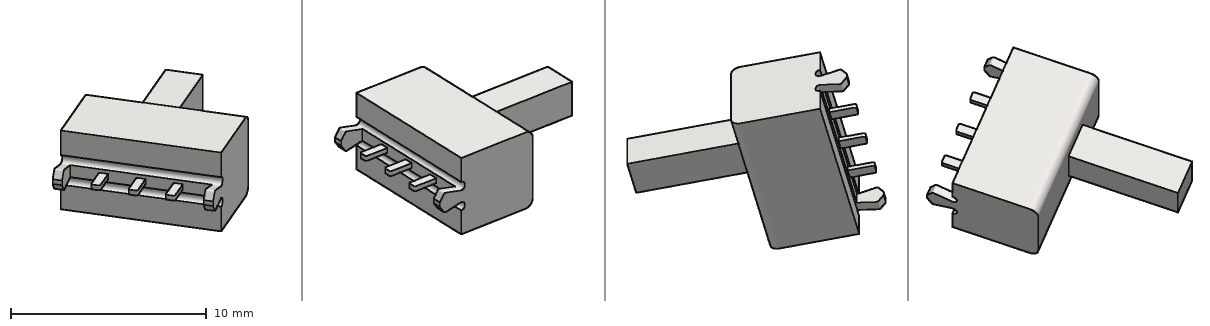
import cadquery as cq
import math

width = 8.6
height = 4.5
depth = 4.7
rear_edge_radius = 0.5

groove_radius = 0.24
groove_offset = 0.59

reach = 1.4
hook_thickness = 0.51
barb_distance = 1.09
barb_half_height = 0.59
barb_edge_radius = 0.12
tip_half_height = 0.13

terminal_width = 0.5
terminal_height = 0.29
terminal_pitch = 2.0
terminal_edge_radius = 0.1
terminal_count = 3

lever_size = 2.0
lever_length = 12.11 - depth - reach
lever_center_x = -lever_size / 2


def make_block():
    block = cq.Workplane("XY").box(width, depth, height).translate((0, depth / 2, 0))
    block = block.edges("|X and >Y").fillet(rear_edge_radius)
    for side in (-1, 1):
        groove = (
            cq.Workplane("YZ", origin=(-width / 2, 0, 0))
            .center(0, side * groove_offset)
            .circle(groove_radius)
            .extrude(width)
        )
        block = block.cut(groove)
    return block


def make_hook(start_x):
    """Double-barbed hook whose flanks run tangentially out of the groove walls."""
    rise = groove_offset - barb_half_height
    corner_distance = math.hypot(barb_distance, rise)
    tangent_angle = math.asin(groove_radius / corner_distance) - math.atan2(rise, barb_distance)
    half_angle = tangent_angle / 2
    root_z = groove_offset - groove_radius
    flank_y = -groove_radius * math.sin(tangent_angle)
    flank_z = groove_offset - groove_radius * math.cos(tangent_angle)
    arc_y = -groove_radius * math.sin(half_angle)
    arc_z = groove_offset - groove_radius * math.cos(half_angle)

    hook = (
        cq.Workplane("YZ", origin=(start_x, 0, 0))
        .moveTo(0, root_z)
        .threePointArc((arc_y, arc_z), (flank_y, flank_z))
        .lineTo(-barb_distance, barb_half_height)
        .lineTo(-reach, tip_half_height)
        .lineTo(-reach, -tip_half_height)
        .lineTo(-barb_distance, -barb_half_height)
        .lineTo(flank_y, -flank_z)
        .threePointArc((arc_y, -arc_z), (0, -root_z))
        .close()
        .extrude(hook_thickness)
    )
    barb_edges = hook.edges("|X").edges(">Z or <Z")
    return barb_edges.fillet(barb_edge_radius)


def make_terminal(center_x):
    terminal = cq.Workplane("XY").box(terminal_width, reach, terminal_height)
    terminal = terminal.edges("|Z and <Y").fillet(terminal_edge_radius)
    return terminal.translate((center_x, -reach / 2, 0))


def make_housing():
    housing = make_block()
    for start_x in (-width / 2, width / 2 - hook_thickness):
        housing = housing.union(make_hook(start_x))
    for index in range(terminal_count):
        center_x = (index - (terminal_count - 1) / 2) * terminal_pitch
        housing = housing.union(make_terminal(center_x))
    return housing


def make_lever():
    lever = cq.Workplane("XY").box(lever_size, lever_length, lever_size)
    return lever.translate((lever_center_x, depth + lever_length / 2, 0))


housing = make_housing()
lever = make_lever()
result = cq.Compound.makeCompound([housing.val(), lever.val()])